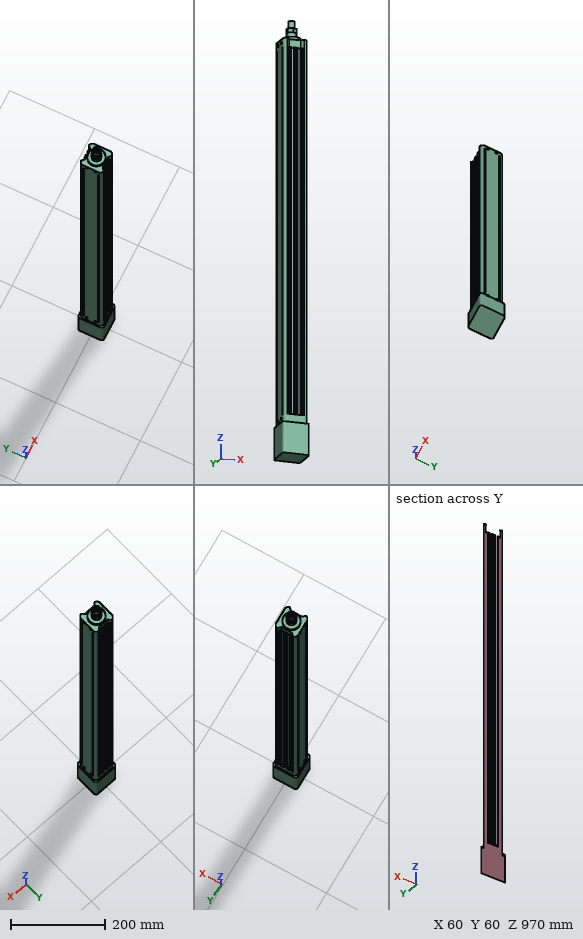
import cadquery as cq

total_height = 970.0

block_side = 60.0
block_height = 70.0
block_corner = 6.0

body_side = 54.0
body_corner = 9.0
body_top = 924.0
bottom_cap_height = 18.0
top_cap_height = 19.0

panel_width = 32.0
groove_width = 3.0
groove_depth = 1.0

slot_width = 6.0
undercut_width = 12.0
lip_thickness = 2.0
slot_depth = 5.0
slot_spacing = 15.0

recess_mouth = 39.0
recess_floor = 26.0

screw_diameter = 5.0
screw_depth = 2.0
screw_spacing = 20.0
screw_above_block = 11.0
screw_below_top = 8.0

flange_diameter = 39.0
flange_height = 7.0
rod_diameter = 21.0
nut_bottom = 944.0
nut_height = 10.0
nut_across_corners = 23.0
stud_diameter = 15.0
socket_diameter = 8.0
socket_depth = 10.0

half_body = body_side / 2
barrel_bottom = block_height + bottom_cap_height
barrel_top = body_top - top_cap_height
barrel_length = barrel_top - barrel_bottom
recess_depth = (recess_mouth - recess_floor) / 2
flange_top = body_top + flange_height
nut_top = nut_bottom + nut_height


def rounded_bar(side, corner, bottom, top):
    """Square bar with rounded upright edges."""
    bar = cq.Workplane("XY").workplane(offset=bottom).rect(side, side).extrude(top - bottom)
    return bar.edges("|Z").fillet(corner)


def cylinder(diameter, bottom, top):
    """Upright cylinder on the part's axis."""
    return cq.Workplane("XY").workplane(offset=bottom).circle(diameter / 2).extrude(top - bottom)


def with_mirror(tool, plane):
    """The tool together with its mirror image."""
    return tool.union(tool.mirror(plane))


def barrel_channels(width, depth, spacing, start=0):
    """Pair of channels along the barrel on each Y face, between two depths below the face."""
    middle_y = (start + depth) / 2 - half_body
    pair = (
        cq.Workplane("XY").workplane(offset=barrel_bottom)
        .pushPoints([(-spacing / 2, middle_y), (spacing / 2, middle_y)])
        .rect(width, depth - start)
        .extrude(barrel_length)
    )
    return with_mirror(pair, "XZ")


def top_cap_recesses():
    """Recess with sloping flanks in both Y faces of the top cap."""
    half_mouth = recess_mouth / 2
    half_floor = recess_floor / 2
    floor_y = recess_depth - half_body
    recess = (
        cq.Workplane("XY").workplane(offset=barrel_top)
        .moveTo(-half_mouth, -half_body)
        .lineTo(half_mouth, -half_body)
        .lineTo(half_floor, floor_y)
        .lineTo(-half_floor, floor_y)
        .close()
        .extrude(top_cap_height)
    )
    return with_mirror(recess, "XZ")


def cap_screw_holes():
    """Shallow round holes in the X faces of both caps."""
    heights = [block_height + screw_above_block, body_top - screw_below_top]
    places = [(side * screw_spacing / 2, z) for side in (-1, 1) for z in heights]
    holes = (
        cq.Workplane("YZ").workplane(offset=-half_body)
        .pushPoints(places)
        .circle(screw_diameter / 2)
        .extrude(screw_depth)
    )
    return with_mirror(holes, "YZ")


def hex_nut():
    """Hexagonal nut with two opposite corners on the Y axis."""
    blank = cq.Workplane("XY").workplane(offset=nut_bottom).polygon(6, nut_across_corners).extrude(nut_height)
    return blank.rotate((0, 0, 0), (0, 0, 1), 90)


block = rounded_bar(block_side, block_corner, 0, block_height)
body = rounded_bar(body_side, body_corner, block_height, body_top)

grooves = barrel_channels(groove_width, groove_depth, panel_width + groove_width)
body = body.cut(grooves).cut(grooves.rotate((0, 0, 0), (0, 0, 1), 90))
body = body.cut(barrel_channels(slot_width, slot_depth, slot_spacing))
body = body.cut(barrel_channels(undercut_width, slot_depth, slot_spacing, start=lip_thickness))
body = body.cut(top_cap_recesses()).cut(cap_screw_holes())

result = (
    block.union(body)
    .union(cylinder(flange_diameter, body_top, flange_top))
    .union(cylinder(rod_diameter, flange_top, nut_bottom))
    .union(hex_nut())
    .union(cylinder(stud_diameter, nut_top, total_height))
    .cut(cylinder(socket_diameter, total_height - socket_depth, total_height))
)